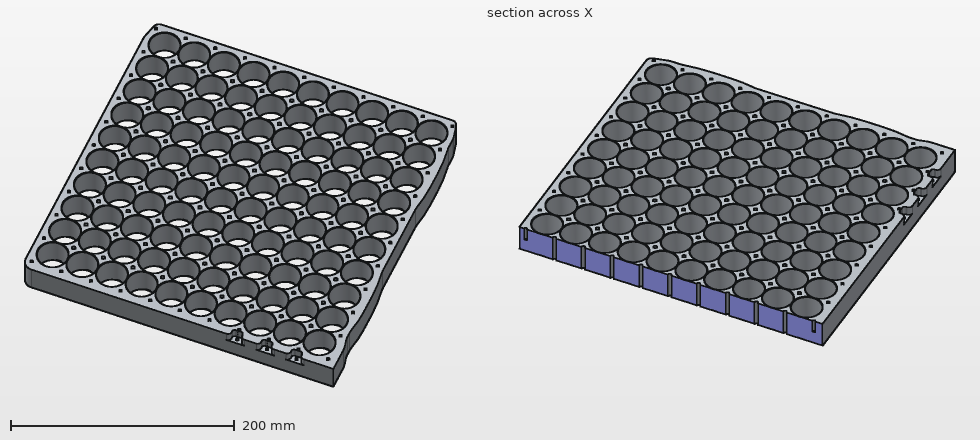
import cadquery as cq
LENGTH_X = 302.26
LENGTH_Y = 302.26
HEIGHT = 25.91

CELLS_PER_SIDE = 10
CELL_PITCH = 28.74
CELL_DIAMETER = 28.07
CELL_CHAMFER = 0.508
LATTICE_X = 6.16
LATTICE_Y = 8.70
INNER_NODE_DIAMETER = 3.25
BORDER_NODE_DIAMETER = 2.49
BORDER_NODE_DEPTH = 12.7

TAPER_LENGTH = 19.0
TAPER_INSET = 4.4
TAPER_TIP_RADIUS = 5.7
TAPER_BLEND_RADIUS = 9.5
NEAR_CORNER_RADIUS = 9.525

WAVE_HEIGHT = 2.54
BUMP_CENTERS_Y = (81.28, 233.68)
BUMP_HALF_LENGTH = 38.0
BUMP_FLANK = (29.0, 0.43 * WAVE_HEIGHT)
BUMP_SHOULDER = (15.0, 0.92 * WAVE_HEIGHT)
STEP_TOP_Y = 23.0
STEP_BASE_Y = 38.5

NOTCH_NODE_COLUMNS = (7, 8, 9)
NOTCH_WIDTH = 10.2
NOTCH_LENGTH = 7.0
NOTCH_DEPTH = 8.89
NOTCH_MOUTH_RADIUS = 3.6
NOTCH_INNER_RADIUS = 2.4
NOTCH_PIN_DIAMETER = 2.46
NOTCH_PIN_Y = 4.3

BASE_X = LENGTH_X - WAVE_HEIGHT


def node(column, row):
    return (LATTICE_X + column * CELL_PITCH, LATTICE_Y + row * CELL_PITCH)


def drill(points, diameter, bottom_z):
    """Vertical cylinders at the points, from bottom_z up to the top face."""
    plane = cq.Workplane("XY").workplane(offset=bottom_z)
    return plane.pushPoints(points).circle(diameter / 2).extrude(HEIGHT - bottom_z)


def add_bump(outline, center_y):
    """Extend the right side up to a bump and over it."""
    flank_y, flank_rise = BUMP_FLANK
    shoulder_y, shoulder_rise = BUMP_SHOULDER
    profile = [
        (-flank_y, flank_rise),
        (-shoulder_y, shoulder_rise),
        (0, WAVE_HEIGHT),
        (shoulder_y, shoulder_rise),
        (flank_y, flank_rise),
        (BUMP_HALF_LENGTH, 0),
    ]
    points = [(BASE_X + rise, center_y + along) for along, rise in profile]
    outline = outline.lineTo(BASE_X, center_y - BUMP_HALF_LENGTH)
    return outline.spline(points, tangents=[(0, 1), (0, 1)], includeCurrent=True)


def round_edges(block, corners, radius):
    """Round the full-height vertical edges that stand at the given corners."""
    for x, y in corners:
        block = block.edges(cq.selectors.NearestToPointSelector((x, y, HEIGHT / 2))).fillet(radius)
    return block


def make_block():
    """Solid block with the tapered far corners and the wavy right side."""
    outline = cq.Workplane("XY").lineTo(LENGTH_X, 0).lineTo(LENGTH_X, STEP_TOP_Y)
    outline = outline.spline([(BASE_X, STEP_BASE_Y)], tangents=[(0, 1), (0, 1)], includeCurrent=True)
    for center_y in BUMP_CENTERS_Y:
        outline = add_bump(outline, center_y)
    taper_y = LENGTH_Y - TAPER_LENGTH
    outline = (
        outline.lineTo(BASE_X, taper_y)
        .lineTo(BASE_X - TAPER_INSET, LENGTH_Y)
        .lineTo(TAPER_INSET, LENGTH_Y)
        .lineTo(0, taper_y)
        .close()
    )
    block = outline.extrude(HEIGHT)
    block = round_edges(block, [(TAPER_INSET, LENGTH_Y), (BASE_X - TAPER_INSET, LENGTH_Y)], TAPER_TIP_RADIUS)
    block = round_edges(block, [(0, taper_y), (BASE_X, taper_y)], TAPER_BLEND_RADIUS)
    return round_edges(block, [(0, 0)], NEAR_CORNER_RADIUS)


def make_notch(center_x):
    """Open-sided pocket with a flared mouth and rounded inner corners."""
    half = NOTCH_WIDTH / 2
    mouth = NOTCH_MOUTH_RADIUS
    inner = NOTCH_INNER_RADIUS
    return (
        cq.Workplane("XY")
        .workplane(offset=HEIGHT - NOTCH_DEPTH)
        .moveTo(center_x - half - mouth, 0)
        .radiusArc((center_x - half, mouth), -mouth)
        .lineTo(center_x - half, NOTCH_LENGTH - inner)
        .radiusArc((center_x - half + inner, NOTCH_LENGTH), inner)
        .lineTo(center_x + half - inner, NOTCH_LENGTH)
        .radiusArc((center_x + half, NOTCH_LENGTH - inner), inner)
        .lineTo(center_x + half, mouth)
        .radiusArc((center_x + half + mouth, 0), -mouth)
        .close()
        .extrude(NOTCH_DEPTH)
    )


def cut_cells(block):
    """Round through cells in the middle of the lattice squares, chamfered at the top.

    The chamfers of neighbouring cells run into each other across the thin web between them.
    """
    steps = range(CELLS_PER_SIDE)
    centers = [node(column + 0.5, row + 0.5) for column in steps for row in steps]
    block = block.cut(drill(centers, CELL_DIAMETER, 0))
    radius = CELL_DIAMETER / 2
    for x, y in centers:
        base = cq.Vector(x, y, HEIGHT - CELL_CHAMFER)
        block = block.cut(cq.Workplane(cq.Solid.makeCone(radius, radius + CELL_CHAMFER, CELL_CHAMFER, pnt=base)))
    return block


def cut_node_holes(block):
    """Through holes at the inner lattice nodes, blind holes at the border nodes."""
    inner = []
    border = []
    for column in range(CELLS_PER_SIDE + 1):
        for row in range(CELLS_PER_SIDE + 1):
            on_border = column in (0, CELLS_PER_SIDE) or row in (0, CELLS_PER_SIDE)
            (border if on_border else inner).append(node(column, row))
    block = block.cut(drill(inner, INNER_NODE_DIAMETER, 0))
    return block.cut(drill(border, BORDER_NODE_DIAMETER, HEIGHT - BORDER_NODE_DEPTH))


def cut_notches(block):
    """Connector notches, each with a pin hole continuing below its floor."""
    for column in NOTCH_NODE_COLUMNS:
        center_x, _ = node(column, 0)
        block = block.cut(make_notch(center_x))
        block = block.cut(drill([(center_x, NOTCH_PIN_Y)], NOTCH_PIN_DIAMETER, HEIGHT - BORDER_NODE_DEPTH))
    return block


result = cut_notches(cut_node_holes(cut_cells(make_block())))